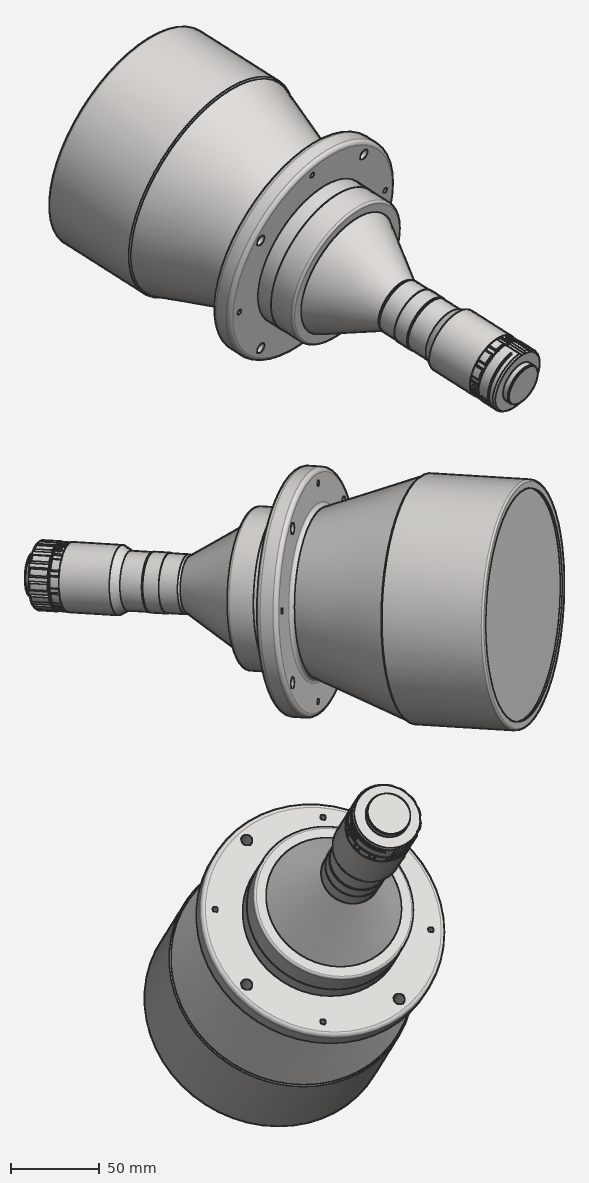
import cadquery as cq
import math

barrel_r = 71.0
lens_r = 66.0
front_cone_end_r = 48.7
collar_r = 46.5
rear_cone_start_r = 39.3
rear_cone_end_r = 16.5
tube_r = 17.0
tube_band_r = 17.3
sleeve_r = 20.0
knurl_r = 19.7
end_chamfer_r = 19.0
mount_r = 12.5

barrel_end_x = 61.0
front_cone_end_x = 120.0
flange_start_x = 122.5
flange_end_x = 135.5
collar_step_x = 145.2
collar_end_x = 161.3
rear_cone_end_x = 199.2
tube_start_x = 200.5
tube_band_start_x = 211.8
tube_band_end_x = 222.0
tube_end_x = 235.0
sleeve_start_x = 240.2
knurl_start_x = 270.5
knurl_end_x = 276.3
ring_start_x = 277.2
half_groove_x = 284.2
ring_end_x = 287.8
sleeve_end_x = 289.0
length = 293.3

barrel_fillet = 1.2
barrel_end_chamfer = 1.0
flange_fillet = 2.5
collar_fillet = 1.5
collar_step = 0.15
mount_chamfer_length = 1.0
mount_chamfer_depth = 0.3
lens_recess = 1.2
lens_rise = 0.5
tube_band_bevel = 1.0
knurl_chamfer = 0.5
half_groove_width = 1.0
half_groove_depth = 0.45
half_groove_center = -90.0
half_groove_angle = 180.0
neck_depth = 1.2
grip_depth = 1.0
cutter_clearance = 0.5
grip_floor_r = sleeve_r - grip_depth
cut_r = sleeve_r + cutter_clearance

bolt_circle_r = 62.5
flange_hole_count = 4
first_bolt_hole = 45.0
first_pin_hole = 0.0
bolt_hole_d = 6.5
pin_hole_d = 3.2

slot_floor_angle = 7.0
slot_mouth_angle = 17.0
knurl_pitch = 30.0
grip_pitch = 24.0
first_slot = 15.0
grip_slot_count = 7

screw_count = 3
screw_hole_d = 3.0
screw_hole_depth = 1.8
first_screw = 30.0

window_center = -113.0
window_angle = 26.0
window_width = 4.0
window_x = 280.7


def sector(start_x, end_x, inner_r, outer_r, center, inner_span, outer_span):
    """Arched block about X, centred at an angle from +Z towards +Y."""
    def point(radius, offset):
        angle = math.radians(center + offset)
        return (radius * math.sin(angle), radius * math.cos(angle))

    inner_half = inner_span / 2
    outer_half = outer_span / 2
    return (
        cq.Workplane("YZ", origin=(start_x, 0, 0))
        .moveTo(*point(inner_r, -inner_half))
        .lineTo(*point(outer_r, -outer_half))
        .threePointArc(point(outer_r, 0), point(outer_r, outer_half))
        .lineTo(*point(inner_r, inner_half))
        .threePointArc(point(inner_r, 0), point(inner_r, -inner_half))
        .close()
        .extrude(end_x - start_x)
    )


def arc_point(center_x, center_r, radius, direction):
    """Point on an arc around a centre, at a direction in degrees from +X."""
    angle = math.radians(direction)
    return (center_x + radius * math.cos(angle), center_r + radius * math.sin(angle))


def lens_body():
    """Revolved outline from the domed front lens to the camera mount."""
    root_r = flange_start_x - front_cone_end_x
    root_middle = arc_point(front_cone_end_x, front_cone_end_r + root_r, root_r, -45)

    apex_x = lens_recess - lens_rise
    dome_r = (lens_r**2 + lens_rise**2) / (2 * lens_rise)
    dome_middle_r = lens_r / 2
    dome_middle_x = apex_x + dome_r - math.sqrt(dome_r**2 - dome_middle_r**2)

    collar_rear_r = collar_r - collar_step

    barrel_corner = arc_point(barrel_fillet, barrel_r - barrel_fillet, barrel_fillet, 135)
    flange_front = arc_point(flange_start_x + flange_fillet, barrel_r - flange_fillet, flange_fillet, 135)
    flange_rear = arc_point(flange_end_x - flange_fillet, barrel_r - flange_fillet, flange_fillet, 45)
    collar_corner = arc_point(collar_end_x - collar_fillet, collar_rear_r - collar_fillet, collar_fillet, 45)

    outline = (
        cq.Workplane("XY")
        .moveTo(apex_x, 0)
        .threePointArc((dome_middle_x, dome_middle_r), (lens_recess, lens_r))
        .lineTo(0, lens_r)
        .lineTo(0, barrel_r - barrel_fillet)
        .threePointArc(barrel_corner, (barrel_fillet, barrel_r))
        .lineTo(barrel_end_x - barrel_end_chamfer, barrel_r)
        .lineTo(barrel_end_x, barrel_r - barrel_end_chamfer)
        .lineTo(front_cone_end_x, front_cone_end_r)
        .threePointArc(root_middle, (flange_start_x, front_cone_end_r + root_r))
        .lineTo(flange_start_x, barrel_r - flange_fillet)
        .threePointArc(flange_front, (flange_start_x + flange_fillet, barrel_r))
        .lineTo(flange_end_x - flange_fillet, barrel_r)
        .threePointArc(flange_rear, (flange_end_x, barrel_r - flange_fillet))
        .lineTo(flange_end_x, collar_r)
        .lineTo(collar_step_x, collar_r)
        .lineTo(collar_step_x, collar_rear_r)
        .lineTo(collar_end_x - collar_fillet, collar_rear_r)
        .threePointArc(collar_corner, (collar_end_x, collar_rear_r - collar_fillet))
        .lineTo(collar_end_x, rear_cone_start_r)
        .lineTo(rear_cone_end_x, rear_cone_end_r)
        .lineTo(tube_start_x, tube_r)
        .lineTo(tube_band_start_x, tube_r)
        .lineTo(tube_band_start_x, tube_band_r)
        .lineTo(tube_band_end_x - tube_band_bevel, tube_band_r)
        .lineTo(tube_band_end_x, tube_r)
        .lineTo(tube_end_x, tube_r)
        .lineTo(sleeve_start_x, sleeve_r)
        .lineTo(knurl_start_x, sleeve_r)
        .lineTo(knurl_start_x, knurl_r)
        .lineTo(knurl_end_x - knurl_chamfer, knurl_r)
        .lineTo(knurl_end_x, knurl_r - knurl_chamfer)
        .lineTo(knurl_end_x, sleeve_r - neck_depth)
        .lineTo(ring_start_x, sleeve_r - neck_depth)
        .lineTo(ring_start_x, sleeve_r)
        .lineTo(ring_end_x, sleeve_r)
        .lineTo(sleeve_end_x, end_chamfer_r)
        .lineTo(sleeve_end_x, mount_r)
        .lineTo(length - mount_chamfer_length, mount_r)
        .lineTo(length, mount_r - mount_chamfer_depth)
        .lineTo(length, 0)
        .close()
    )
    return outline.revolve(360, (0, 0, 0), (1, 0, 0))


def flange_holes(diameter, first_angle):
    """Ring of evenly spaced holes through the flange."""
    return (
        cq.Workplane("YZ", origin=(flange_start_x, 0, 0))
        .polarArray(bolt_circle_r, first_angle, 360, flange_hole_count)
        .circle(diameter / 2)
        .extrude(flange_end_x - flange_start_x)
    )


def set_screw_hole(angle):
    """Radial hole in the middle of the knurled band."""
    hole_x = (knurl_start_x + knurl_end_x) / 2
    hole = (
        cq.Workplane("XY", origin=(hole_x, 0, sleeve_r - screw_hole_depth))
        .circle(screw_hole_d / 2)
        .extrude(screw_hole_depth + cutter_clearance)
    )
    return hole.rotate((0, 0, 0), (1, 0, 0), -angle)


def grip_slot(start_x, end_x, center):
    """Lengthwise slot with sides that open outwards."""
    return sector(start_x, end_x, grip_floor_r, cut_r, center, slot_floor_angle, slot_mouth_angle)


def half_groove():
    """Shallow groove around the -Y half of the rear ring."""
    start_x = half_groove_x - half_groove_width / 2
    end_x = half_groove_x + half_groove_width / 2
    floor_r = sleeve_r - half_groove_depth
    return sector(start_x, end_x, floor_r, cut_r, half_groove_center, half_groove_angle, half_groove_angle)


def window():
    """Shallow window in the -Y half of the rear ring."""
    start_x = window_x - window_width / 2
    end_x = window_x + window_width / 2
    return sector(start_x, end_x, grip_floor_r, cut_r, window_center, window_angle, window_angle)


result = lens_body()

result = result.cut(flange_holes(bolt_hole_d, first_bolt_hole))
result = result.cut(flange_holes(pin_hole_d, first_pin_hole))

for index in range(round(360 / knurl_pitch)):
    result = result.cut(grip_slot(knurl_start_x, knurl_end_x, first_slot + index * knurl_pitch))
for index in range(screw_count):
    result = result.cut(set_screw_hole(first_screw + index * 360 / screw_count))

for index in range(grip_slot_count):
    result = result.cut(grip_slot(ring_start_x, sleeve_end_x, first_slot + index * grip_pitch))
result = result.cut(half_groove()).cut(window())